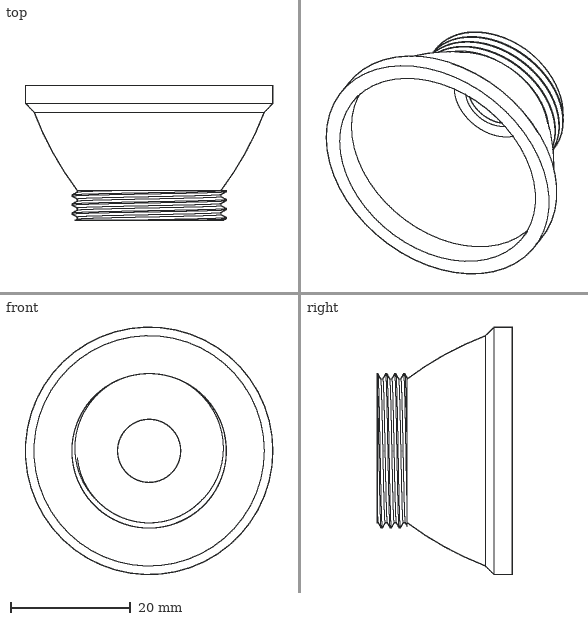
import cadquery as cq
import math

flange_radius = 20.65
flange_height = 3.0
chamfer_height = 1.5
overall_height = 22.5
bowl_large_radius = 19.2
bowl_arc_radius = 53.65
wall_thickness = 1.0
hole_diameter = 10.5

thread_major_radius = 12.87
thread_root_radius = 12.0
thread_length = 5.0
three_pitch_span = 4.5
thread_pitch = three_pitch_span / 3
crest_width = 0.2
root_width = 0.37
thread_embed = 0.25

flange_start = overall_height - flange_height
bowl_end = flange_start - chamfer_height

chord_r = bowl_large_radius - thread_root_radius
chord_z = bowl_end - thread_length
chord = math.hypot(chord_r, chord_z)
centre_distance = math.sqrt(bowl_arc_radius**2 - (chord / 2) ** 2)
arc_centre_r = (thread_root_radius + bowl_large_radius) / 2 - centre_distance * chord_z / chord
arc_centre_z = (thread_length + bowl_end) / 2 + centre_distance * chord_r / chord


def bowl_point(z, inset=0.0):
    """Point (radius, z) on the bowl's arc, moved inward by the inset."""
    arc_radius = bowl_arc_radius - inset
    return arc_centre_r + math.sqrt(arc_radius**2 - (z - arc_centre_z) ** 2), z


def make_body():
    """Threaded core, curved bowl, chamfer and flange as one revolved solid."""
    outline = (
        cq.Workplane("XZ")
        .lineTo(thread_root_radius, 0)
        .lineTo(thread_root_radius, thread_length)
        .threePointArc(bowl_point((thread_length + bowl_end) / 2), (bowl_large_radius, bowl_end))
        .lineTo(flange_radius, flange_start)
        .lineTo(flange_radius, overall_height)
        .lineTo(0, overall_height)
        .close()
    )
    return outline.revolve(360, (0, 0, 0), (0, 1, 0))


def make_cavity():
    """Hollow parallel to the bowl, with a flat floor and a straight bore through the flange."""
    floor_z = wall_thickness
    mouth_radius, mouth_z = bowl_point(bowl_end, wall_thickness)
    outline = (
        cq.Workplane("XZ")
        .moveTo(0, floor_z)
        .lineTo(*bowl_point(floor_z, wall_thickness))
        .threePointArc(
            bowl_point((floor_z + bowl_end) / 2, wall_thickness),
            (mouth_radius, mouth_z),
        )
        .lineTo(mouth_radius, overall_height)
        .lineTo(0, overall_height)
        .close()
    )
    return outline.revolve(360, (0, 0, 0), (0, 1, 0))


def make_thread():
    """Right-handed helical ridge, trimmed flush with both ends of the threaded neck."""
    start_z = thread_pitch / 4 - 2 * thread_pitch
    helix_height = thread_length + 4 * thread_pitch
    helix = cq.Wire.makeHelix(thread_pitch, helix_height, thread_root_radius, cq.Vector(0, 0, start_z))
    half_crest = crest_width / 2
    half_root = (thread_pitch - root_width) / 2
    flank_slope = (half_root - half_crest) / (thread_major_radius - thread_root_radius)
    inner_radius = thread_root_radius - thread_embed
    half_base = half_root + flank_slope * thread_embed
    ridge = (
        cq.Workplane("XZ")
        .polyline(
            [
                (inner_radius, start_z - half_base),
                (thread_major_radius, start_z - half_crest),
                (thread_major_radius, start_z + half_crest),
                (inner_radius, start_z + half_base),
            ]
        )
        .close()
        .sweep(cq.Workplane(helix), isFrenet=True)
    )
    neck = cq.Workplane("XY").circle(2 * thread_major_radius).extrude(thread_length)
    return ridge.intersect(neck)


hole = cq.Workplane("XY").circle(hole_diameter / 2).extrude(overall_height)

part = make_body().union(make_thread()).cut(make_cavity()).cut(hole)
result = part.rotate((0, 0, 0), (1, 0, 0), -90)